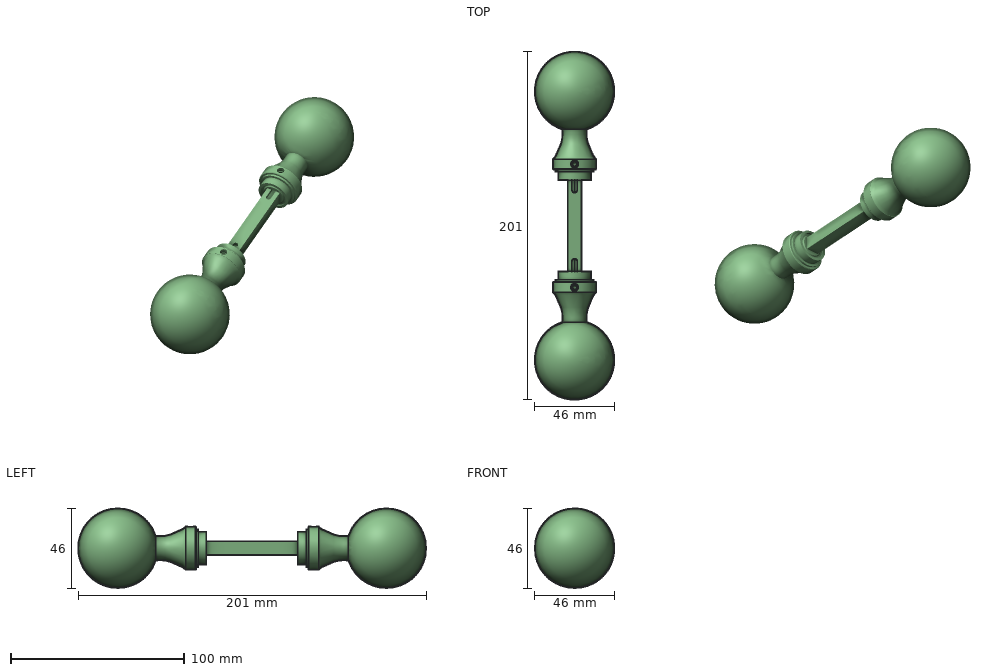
import cadquery as cq
import math

overall_length = 201.0
ball_diameter = 46.0

neck_diameter = 14.3
flare_diameter = 24.7
flare_middle_diameter = 18.5
flare_middle = 43.8
throat_diameter = 14.5
throat = 49.8
collar_diameter = 25.1
collar_outer_end = 38.4
collar_inner_end = 32.4
collar_chamfer = 0.5

shank_diameter = 13.7
shank_chamfer = 0.6
shank_recess = 0.5

sleeve_diameter = 19.0
sleeve_end = 26.3
flange_diameter = 22.1
flange_thickness = 1.2
mouth_diameter = 15.9

spindle_width = 8.0
spindle_length = 96.5
keyway_width = 3.0
keyway_start = 19.0
keyway_wall_depth = 2.0
keyway_floor_angle = 135.0

screw_diameter = 4.2
screw_sink = 2.8
socket_diameter = 3.0
socket_depth = 1.6
socket_tip_angle = 118.0

ball_radius = ball_diameter / 2
ball_centre = overall_length / 2 - ball_radius
neck_end = ball_centre - math.sqrt(ball_radius**2 - (neck_diameter / 2) ** 2)
shank_end = sleeve_end + shank_recess
mouth_floor = shank_end + shank_chamfer
flange_end = collar_inner_end - flange_thickness
spindle_top = spindle_width / 2
screw_y = (collar_outer_end + collar_inner_end + collar_chamfer) / 2


def tip_height(width, angle):
    """Height of a pointed end of the given width and included angle."""
    return width / 2 / math.tan(math.radians(angle / 2))


def revolve_about_axis(profile):
    """Turn a closed profile, drawn as (radius, Y), around the spindle axis."""
    return profile.close().revolve(360, (0, 0), (0, 1))


def mirrored_pair(body):
    return [body.val(), body.mirror("XZ").val()]


def spindle_bar():
    return cq.Workplane("XY").box(spindle_width, spindle_length, spindle_width)


def make_keyway():
    """V-bottomed slot with a round inner end, open at the end of the spindle."""
    half_width = keyway_width / 2
    floor = spindle_top - keyway_wall_depth
    section = [
        (-half_width, spindle_top),
        (-half_width, floor),
        (0, floor - tip_height(keyway_width, keyway_floor_angle)),
        (half_width, floor),
        (half_width, spindle_top),
    ]
    slot = cq.Workplane("XZ").polyline(section).close().extrude(-spindle_length / 2)
    straight_start = keyway_start + half_width
    straight_length = spindle_length / 2 - straight_start
    outline = (
        cq.Workplane("XY")
        .moveTo(-half_width, straight_start)
        .threePointArc((0, keyway_start), (half_width, straight_start))
        .line(0, straight_length)
        .line(-keyway_width, 0)
        .close()
        .extrude(spindle_width, both=True)
    )
    return slot.intersect(outline)


def make_spindle():
    keyway = make_keyway()
    return spindle_bar().cut(keyway).cut(keyway.mirror("XZ"))


def make_stem():
    """Shank, collar and flared neck, turned in one piece."""
    shank_radius = shank_diameter / 2
    collar_radius = collar_diameter / 2
    flare_points = [
        (flare_middle_diameter / 2, flare_middle),
        (throat_diameter / 2, throat),
        (neck_diameter / 2, neck_end),
    ]
    flare_start_slope = (-1, 1)
    along_axis = (0, 1)
    profile = (
        cq.Workplane("XY")
        .moveTo(0, shank_end)
        .lineTo(shank_radius - shank_chamfer, shank_end)
        .lineTo(shank_radius, mouth_floor)
        .lineTo(shank_radius, collar_inner_end)
        .lineTo(collar_radius - collar_chamfer, collar_inner_end)
        .lineTo(collar_radius, collar_inner_end + collar_chamfer)
        .lineTo(collar_radius, collar_outer_end)
        .lineTo(flare_diameter / 2, collar_outer_end)
        .spline(flare_points, tangents=[flare_start_slope, along_axis], includeCurrent=True)
        .lineTo(0, neck_end)
    )
    return revolve_about_axis(profile)


def make_knob():
    ball = cq.Workplane("XY").sphere(ball_radius).translate((0, ball_centre, 0))
    screw_hole = (
        cq.Workplane("XY", origin=(0, screw_y, spindle_top))
        .circle(screw_diameter / 2)
        .extrude(collar_diameter / 2)
    )
    return make_stem().union(ball).cut(spindle_bar()).cut(screw_hole)


def make_bushing():
    section = [
        (shank_diameter / 2, collar_inner_end),
        (flange_diameter / 2, collar_inner_end),
        (flange_diameter / 2, flange_end),
        (sleeve_diameter / 2, flange_end),
        (sleeve_diameter / 2, sleeve_end),
        (mouth_diameter / 2, sleeve_end),
        (mouth_diameter / 2, mouth_floor),
        (shank_diameter / 2, mouth_floor),
    ]
    return revolve_about_axis(cq.Workplane("XY").polyline(section))


def make_screw():
    """Upright screw with a hexagon socket that ends in a conical tip."""
    top = collar_diameter / 2 - screw_sink
    socket_floor = top - socket_depth
    tip_diameter = socket_diameter * math.cos(math.pi / 6)
    body = (
        cq.Workplane("XY", origin=(0, screw_y, spindle_top))
        .circle(screw_diameter / 2)
        .extrude(top - spindle_top)
    )
    socket = (
        cq.Workplane("XY", origin=(0, screw_y, socket_floor))
        .transformed(rotate=(0, 0, 90))
        .polygon(6, socket_diameter)
        .extrude(socket_depth)
    )
    height = tip_height(tip_diameter, socket_tip_angle)
    tip_base = cq.Vector(0, screw_y, socket_floor)
    tip = cq.Solid.makeCone(tip_diameter / 2, 0, height, tip_base, cq.Vector(0, 0, -1))
    return body.cut(socket).cut(cq.Workplane(tip))


spindle = make_spindle()
knobs = mirrored_pair(make_knob())
bushings = mirrored_pair(make_bushing())
screws = mirrored_pair(make_screw())

result = cq.Compound.makeCompound([spindle.val(), *knobs, *bushings, *screws])